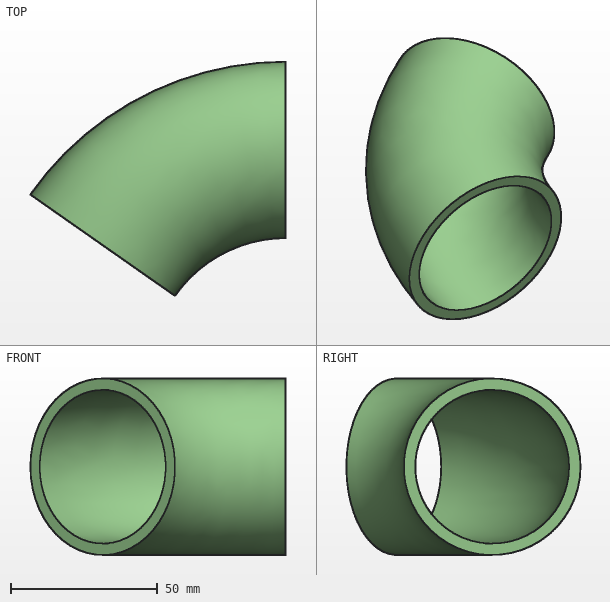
import cadquery as cq
import math

overall_length = 87.1
bend_angle = 55.0
outer_diameter = 60.3
wall_thickness = 3.9

outer_radius = outer_diameter / 2
inner_radius = outer_radius - wall_thickness

outer_bend_radius = overall_length / math.sin(math.radians(bend_angle))
bend_radius = outer_bend_radius - outer_radius

result = (
    cq.Workplane("YZ")
    .center(bend_radius, 0)
    .circle(outer_radius)
    .circle(inner_radius)
    .revolve(bend_angle, (-bend_radius, 0), (-bend_radius, 1))
)